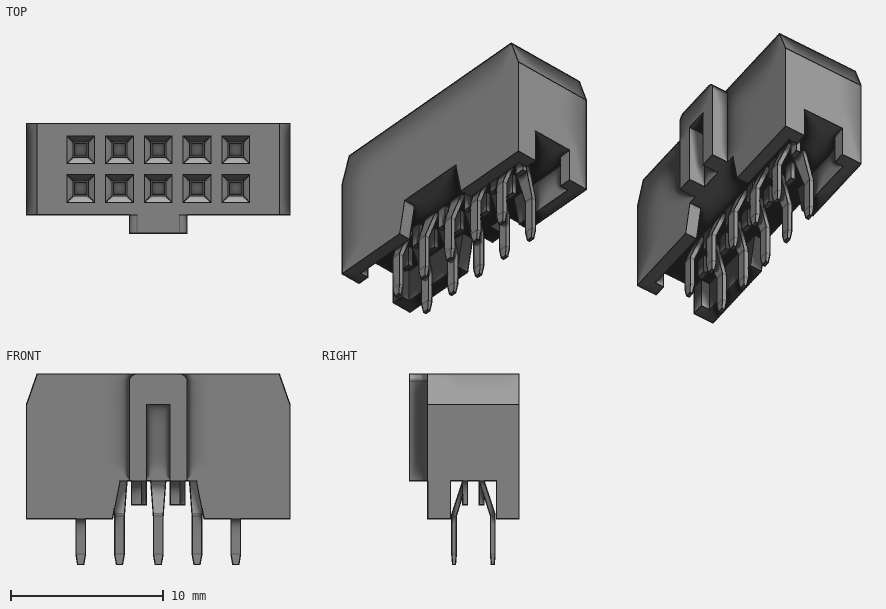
import cadquery as cq
import math


body_length = 17.27
body_depth = 6.0
body_height = 9.5
overall_height = 12.5
end_bevel_run = 0.7
end_bevel_drop = 2.0

ceiling_z = 2.5
wall = 0.86
end_channel_depth = 3.0
gap_top_width = 5.0
gap_bottom_width = 6.0

key_width = 3.8
key_thickness = 1.2
key_corner_radius = 0.5
key_slot_width = 1.55
key_slot_top_z = body_height - 2.0

contacts_per_row = 5
pitch = 2.54

entry_width = 1.82
entry_throat = 1.0
entry_taper_depth = 0.4
socket_width = 0.8
socket_depth = 0.4

pin_thickness = 0.32
pin_width = 0.65
pin_root_width = 1.0
pin_root_y = -0.54
pin_y = -pitch / 2
lean = math.radians(18.5)
bend_start_z = 0.2
bend_inner_radius = pin_thickness / 2
pin_end_z = body_height - overall_height
pin_tip_length = 0.7
pin_tip_width = 0.4
pin_tip_thickness = 0.2

tail_offset = 1.11
tail_end_z = 0.93


def make_housing():
    """Bevelled block, hollow underneath, open at both ends and in the middle of both long sides."""
    half_length = body_length / 2
    outline = [
        (-half_length, 0),
        (half_length, 0),
        (half_length, body_height - end_bevel_drop),
        (half_length - end_bevel_run, body_height),
        (-half_length + end_bevel_run, body_height),
        (-half_length, body_height - end_bevel_drop),
    ]
    block = cq.Workplane("XZ").polyline(outline).close().extrude(body_depth / 2, both=True)

    cavity = cq.Workplane("XY").rect(body_length - 2 * wall, body_depth - 2 * wall).extrude(ceiling_z)
    end_channel = cq.Workplane("XY").rect(body_length, end_channel_depth).extrude(ceiling_z)
    gap_outline = [
        (-gap_bottom_width / 2, 0),
        (gap_bottom_width / 2, 0),
        (gap_top_width / 2, ceiling_z),
        (-gap_top_width / 2, ceiling_z),
    ]
    side_gap = cq.Workplane("XZ").polyline(gap_outline).close().extrude(body_depth / 2, both=True)
    return block.cut(cavity).cut(end_channel).cut(side_gap)


def make_key():
    """Rib with rounded upper corners and a slot that is open at the bottom."""
    key_height = body_height - ceiling_z
    slot_height = key_slot_top_z - ceiling_z
    key_base = cq.Workplane("XZ", origin=(0, -body_depth / 2, ceiling_z))
    rib = key_base.rect(key_width, key_height).extrude(key_thickness).translate((0, 0, key_height / 2))
    rib = rib.faces(">Z").edges("|Y").fillet(key_corner_radius)
    slot = key_base.rect(key_slot_width, slot_height).extrude(key_thickness)
    return rib.cut(slot.translate((0, 0, slot_height / 2)))


def make_entry():
    """Cutter for a tapered square funnel with a smaller straight socket below it."""
    funnel = (
        cq.Workplane("XY", origin=(0, 0, body_height))
        .rect(entry_width, entry_width)
        .workplane(offset=-entry_taper_depth)
        .rect(entry_throat, entry_throat)
        .loft()
    )
    socket_top = cq.Workplane("XY", origin=(0, 0, body_height - entry_taper_depth))
    socket = socket_top.rect(socket_width, socket_width).extrude(-socket_depth)
    return funnel.union(socket)


def make_contact():
    """Pin of the -Y row with its tail: leaning shank, bend, straight leg and tapered tip."""
    outer_y = pin_y - pin_thickness / 2
    inner_y = pin_y + pin_thickness / 2
    outer_root_y = pin_root_y - pin_thickness / 2
    inner_root_y = pin_root_y + pin_thickness / 2
    tip_start_z = pin_end_z + pin_tip_length

    outer_radius = bend_inner_radius + pin_thickness
    bend_centre_y = inner_y + bend_inner_radius

    def bend_point(radius, angle):
        return (bend_centre_y - radius * math.cos(angle), bend_start_z + radius * math.sin(angle))

    side = (
        cq.Workplane("YZ")
        .moveTo(pin_y - pin_tip_thickness / 2, pin_end_z)
        .lineTo(outer_y, tip_start_z)
        .lineTo(outer_y, bend_start_z)
        .threePointArc(bend_point(outer_radius, lean / 2), bend_point(outer_radius, lean))
        .lineTo(outer_root_y, ceiling_z)
        .lineTo(inner_root_y, ceiling_z)
        .lineTo(*bend_point(bend_inner_radius, lean))
        .threePointArc(bend_point(bend_inner_radius, lean / 2), (inner_y, bend_start_z))
        .lineTo(inner_y, tip_start_z)
        .lineTo(pin_y + pin_tip_thickness / 2, pin_end_z)
        .close()
        .extrude(pin_root_width, both=True)
    )

    right_edge = [
        (pin_tip_width / 2, pin_end_z),
        (pin_width / 2, tip_start_z),
        (pin_width / 2, bend_start_z),
        (pin_root_width / 2, ceiling_z),
    ]
    left_edge = [(-x, z) for x, z in reversed(right_edge)]
    front = cq.Workplane("XZ").polyline(right_edge + left_edge).close().extrude(body_depth, both=True)

    tail = (
        cq.Workplane("XY", origin=(tail_offset, pin_root_y, ceiling_z))
        .rect(pin_width, pin_thickness)
        .extrude(tail_end_z - ceiling_z)
    )
    return side.intersect(front).union(tail)


result = make_housing().union(make_key())
entry = make_entry()
front_contact = make_contact()
back_contact = front_contact.rotate((0, 0, 0), (0, 0, 1), 180)

for column in range(contacts_per_row):
    column_x = (column - (contacts_per_row - 1) / 2) * pitch
    for row_y, contact in ((pin_y, front_contact), (-pin_y, back_contact)):
        result = result.cut(entry.translate((column_x, row_y, 0)))
        result = result.union(contact.translate((column_x, 0, 0)))